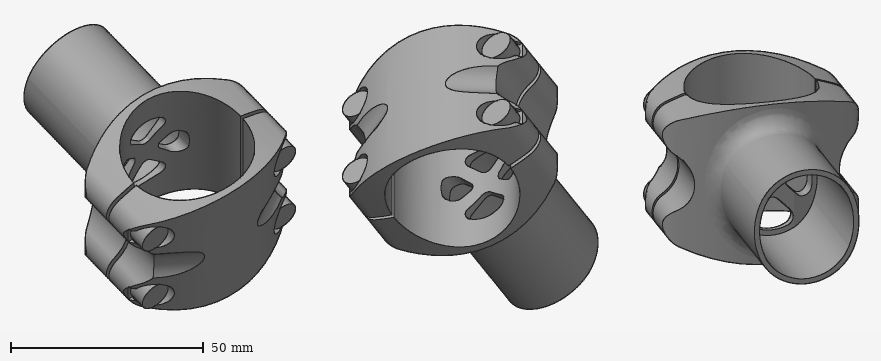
import cadquery as cq
import math


clamp_height = 44.45
clamp_width = 53.0
plan_width = 53.8
bore_radius = 17.5
split_gap = 1.0
stem_face_x = -19.4
cap_face_x = 19.5
stem_face_radius = 41.4
cap_face_radius = 36.7
corner_radius = 7.0
body_reach = 60.0

lobe_radius = 5.6
screw_y = clamp_width / 2 - lobe_radius
screw_z = 12.5
shank_radius = 2.5
shank_tip_x = -8.0
head_radius = 4.25
head_base_x = 8.4
head_end_x = 13.4
counterbore_radius = 4.55
side_opening_width = 5.2
side_groove_y = 19.55

scoop_radius = 7.0
scoop_outer_point = (11.2, side_groove_y)
scoop_inner_point = (18.3, 8.9)

tube_end_x = -50.8
tube_half_width = 14.15
tube_half_height = 15.875
tube_cap_radius = 13.73
tube_cap_center_z = tube_half_height - tube_cap_radius
tube_side_radius = (tube_half_width**2 + tube_cap_center_z**2 - tube_cap_radius**2) / (
    2 * (tube_half_width - tube_cap_radius)
)
tube_wall = 1.45
tube_root_radius = 5.0
root_zone_half_width = 15.0
root_zone_depth = 3.0

floor_flat_half_width = 6.05
window_rim = 1.5
spoke_half_width = 2.1
window_inner_radius = 2.0
window_outer_radius = 2.5


def clamp_plan():
    """Clamp outline seen along Z, extruded over the full height, with rounded corners."""
    half_width = plan_width / 2

    def face_drop(radius):
        return radius - math.sqrt(radius**2 - half_width**2)

    stem_corner_x = stem_face_x + face_drop(stem_face_radius)
    cap_corner_x = cap_face_x - face_drop(cap_face_radius)
    return (
        cq.Workplane("XY")
        .moveTo(stem_corner_x, -half_width)
        .lineTo(cap_corner_x, -half_width)
        .threePointArc((cap_face_x, 0), (cap_corner_x, half_width))
        .lineTo(stem_corner_x, half_width)
        .threePointArc((stem_face_x, 0), (stem_corner_x, -half_width))
        .close()
        .extrude(clamp_height / 2, both=True)
        .edges("|Z")
        .fillet(corner_radius)
    )


def clamp_side_profile():
    """Clamp outline seen along X: crowned top and bottom, four round lobes, two side grooves."""
    half_height = clamp_height / 2
    lobe_drop = half_height - screw_z
    crown_radius = (screw_y**2 + lobe_drop**2 - lobe_radius**2) / (2 * (lobe_drop - lobe_radius))
    crown_center_z = half_height - crown_radius
    groove_offset = screw_y - side_groove_y
    groove_radius = (groove_offset**2 + screw_z**2 - lobe_radius**2) / (2 * (lobe_radius + groove_offset))
    groove_center_y = side_groove_y + groove_radius

    crown_scale = crown_radius / (crown_radius - lobe_radius)
    crown_y = screw_y * crown_scale
    crown_z = crown_center_z + (screw_z - crown_center_z) * crown_scale
    groove_share = lobe_radius / (lobe_radius + groove_radius)
    groove_y = screw_y + (groove_center_y - screw_y) * groove_share
    groove_z = screw_z * (1 - groove_share)
    lobe_y = screw_y + lobe_radius

    return (
        cq.Workplane("YZ")
        .moveTo(-crown_y, crown_z)
        .threePointArc((0, half_height), (crown_y, crown_z))
        .threePointArc((lobe_y, screw_z), (groove_y, groove_z))
        .threePointArc((side_groove_y, 0), (groove_y, -groove_z))
        .threePointArc((lobe_y, -screw_z), (crown_y, -crown_z))
        .threePointArc((0, -half_height), (-crown_y, -crown_z))
        .threePointArc((-lobe_y, -screw_z), (-groove_y, -groove_z))
        .threePointArc((-side_groove_y, 0), (-groove_y, groove_z))
        .threePointArc((-lobe_y, screw_z), (-crown_y, crown_z))
        .close()
        .extrude(body_reach, both=True)
    )


def tube_oval(start_x, end_x, inset):
    """Solid oval along X, moved inward by inset from the outer tube surface."""
    half_width = tube_half_width - inset
    half_height = tube_half_height - inset
    cap_radius = tube_cap_radius - inset
    side_radius = tube_side_radius - inset
    cap_center_z = half_height - cap_radius
    side_center_y = half_width - side_radius
    joint_scale = side_radius / (side_radius - cap_radius)
    joint_y = side_center_y * (1 - joint_scale)
    joint_z = cap_center_z * joint_scale
    return (
        cq.Workplane("YZ", origin=(start_x, 0, 0))
        .moveTo(-joint_y, joint_z)
        .threePointArc((0, half_height), (joint_y, joint_z))
        .threePointArc((half_width, 0), (joint_y, -joint_z))
        .threePointArc((0, -half_height), (-joint_y, -joint_z))
        .threePointArc((-half_width, 0), (-joint_y, joint_z))
        .close()
        .extrude(end_x - start_x)
    )


def slab(start_x, end_x):
    """Block covering the whole part between two X positions."""
    return cq.Workplane("XY").box(end_x - start_x, body_reach * 2, body_reach * 2).translate(
        ((start_x + end_x) / 2, 0, 0)
    )


def rod(y, z, start_x, end_x, radius):
    """Round rod along X."""
    return cq.Workplane("YZ", origin=(start_x, y, z)).circle(radius).extrude(end_x - start_x)


def tube_cavity():
    """Inside of the tube, ending on a floor flush with the clamp face, with a flat middle."""
    floor_center_x = stem_face_x + stem_face_radius
    floor_flat_x = floor_center_x - math.sqrt(stem_face_radius**2 - floor_flat_half_width**2)
    floor = cq.Workplane("XY").center(floor_center_x, 0).circle(stem_face_radius)
    floor = floor.extrude(clamp_height, both=True)
    floor = floor.intersect(slab(floor_flat_x, body_reach))
    return tube_oval(tube_end_x, 0, tube_wall).cut(floor)


def window(reach, outer_radius):
    """Window with a right-angled inner corner and a curved outer edge, opening toward +Y."""
    apex = spoke_half_width * math.sqrt(2)
    outer_center = reach - outer_radius
    corner_y = (outer_center + apex + math.sqrt(2 * outer_radius**2 - (outer_center - apex) ** 2)) / 2
    corner_z = corner_y - apex
    return (
        cq.Workplane("YZ", origin=(stem_face_x, 0, 0))
        .moveTo(apex, 0)
        .lineTo(corner_y, -corner_z)
        .threePointArc((reach, 0), (corner_y, corner_z))
        .close()
        .extrude(-stem_face_x)
        .edges("|X")
        .edges("<Y")
        .fillet(window_inner_radius)
        .edges("|X")
        .edges(">Z or <Z")
        .fillet(window_outer_radius)
    )


def windows():
    """Four windows between diagonal spokes, passing from the tube cavity into the bore."""
    inset = tube_wall + window_rim
    side_window = window(tube_half_width - inset, tube_side_radius - inset)
    top_window = window(tube_half_height - inset, tube_cap_radius - inset)
    opening = cq.Workplane("YZ")
    for shape, angles in ((side_window, (0, 180)), (top_window, (90, 270))):
        for angle in angles:
            opening = opening.add(shape.rotate((0, 0, 0), (1, 0, 0), angle))
    return opening


screw_places = [(y, z) for y in (-screw_y, screw_y) for z in (-screw_z, screw_z)]


def make_screw(y, z):
    shank = rod(y, z, shank_tip_x, head_base_x, shank_radius)
    return shank.union(rod(y, z, head_base_x, head_end_x, head_radius))


def side_opening(y, z):
    """Slot that opens a counterbore through the side of its lobe."""
    length = body_reach - head_base_x
    outward = math.copysign(lobe_radius, y)
    slot = cq.Workplane("XY").box(length, 2 * lobe_radius, side_opening_width)
    return slot.translate((head_base_x + length / 2, y + outward, z))


def scoop(side):
    """Slanted cylinder that hollows the cap face beside a groove, on the +Y or -Y side."""
    run_x = scoop_inner_point[0] - scoop_outer_point[0]
    run_y = scoop_inner_point[1] - scoop_outer_point[1]
    run = math.hypot(run_x, run_y)
    normal_x = -run_y / run
    normal_y = run_x / run
    center_x = (scoop_outer_point[0] + scoop_inner_point[0]) / 2 + normal_x * scoop_radius
    center_y = (scoop_outer_point[1] + scoop_inner_point[1]) / 2 + normal_y * scoop_radius
    cutter = cq.Solid.makeCylinder(
        scoop_radius,
        2 * run,
        cq.Vector(center_x - run_x, side * (center_y - run_y), 0),
        cq.Vector(run_x, side * run_y, 0),
    )
    return cq.Workplane(cutter)


clamp = clamp_plan().intersect(clamp_side_profile())
bore = cq.Workplane("XY").circle(bore_radius).extrude(clamp_height, both=True)

stem_clamp = clamp.intersect(slab(-body_reach, 0))
stem = stem_clamp.union(tube_oval(tube_end_x, -bore_radius / 2, 0))
root_zone = cq.selectors.BoxSelector(
    (stem_face_x, -root_zone_half_width, -root_zone_half_width),
    (stem_face_x + root_zone_depth, root_zone_half_width, root_zone_half_width),
)
stem = stem.edges(root_zone).edges("%BSPLINE").fillet(tube_root_radius)
stem = stem.cut(bore).cut(tube_cavity())
for opening in windows().vals():
    stem = stem.cut(cq.Workplane(opening))

cap = clamp.intersect(slab(split_gap, body_reach)).cut(bore)
for side in (-1, 1):
    cap = cap.cut(scoop(side))

screws = []
for y, z in screw_places:
    screw = make_screw(y, z)
    stem = stem.cut(rod(y, z, shank_tip_x, 0, shank_radius))
    cap = cap.cut(rod(y, z, 0, head_base_x, shank_radius))
    cap = cap.cut(rod(y, z, head_base_x, body_reach, counterbore_radius))
    cap = cap.cut(side_opening(y, z))
    screws.append(screw)

result = cq.Compound.makeCompound([stem.val(), cap.val(), *[screw.val() for screw in screws]])